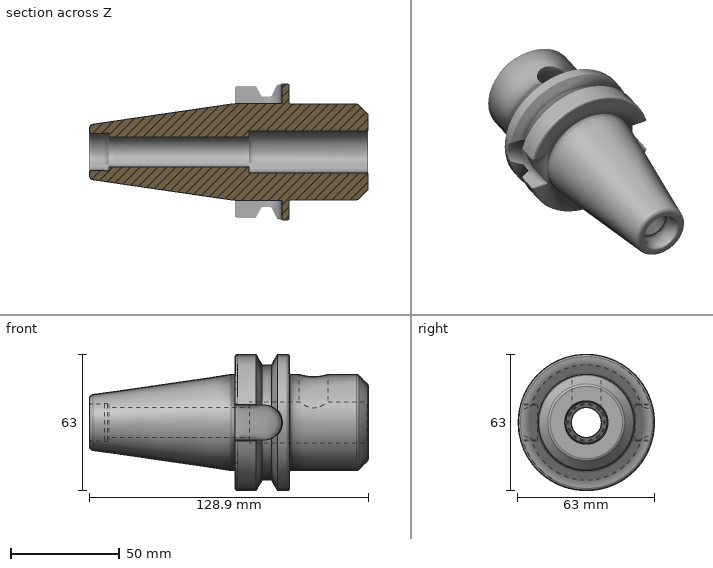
import cadquery as cq
import math

SHANK_LENGTH = 65.4
NOSE_LENGTH = 63.5
FLANGE_FRONT = 2.0
FLANGE_BACK = 27.0
GROOVE_CENTER = 16.6

GAUGE_DIA = 44.45
TAPER_RATIO = 7 / 24
SHANK_END_FILLET = 2.0
SHANK_ROOT_FILLET = 0.35

FLANGE_DIA = 63.0
FLANGE_FILLET = 1.0
GROOVE_DIA = 53.4
GROOVE_FLOOR_WIDTH = 4.4
GROOVE_HALF_ANGLE = 30.0

SLOT_WIDTH = 16.1
SLOT_FLOOR = 22.6
SLOT_END = 23.4
SLOT_CHAMFER = 0.4

NOSE_DIA = 44.45
NOSE_CHAMFER = 4.85
NOSE_EDGE_FILLET = 1.6
NOSE_ROOT_FILLET = 0.6

PILOT_DIA = 17.0
PILOT_DEPTH = 7.0
PILOT_FILLET = 1.0
RECESS_DIA = 17.5
RECESS_DEPTH = 8.4
SEAT_DIA = 16.4
SEAT_DEPTH = 9.0
THREAD_BORE_DIA = 13.84

TOOL_BORE_DIA = 19.05
TOOL_BORE_DEPTH = 55.0
TOOL_BORE_MOUTH_DIA = 20.05

SCREW_HOLE_DIA = 13.39
SCREW_HOLE_X = 38.2

PICK_MARGIN = 0.05

shank_end_r = (GAUGE_DIA - TAPER_RATIO * SHANK_LENGTH) / 2
gauge_r = GAUGE_DIA / 2
flange_r = FLANGE_DIA / 2
groove_r = GROOVE_DIA / 2
nose_r = NOSE_DIA / 2
slot_r = SLOT_WIDTH / 2
groove_floor_half = GROOVE_FLOOR_WIDTH / 2
groove_flank = (flange_r - groove_r) * math.tan(math.radians(GROOVE_HALF_ANGLE))
groove_mouth_half = groove_floor_half + groove_flank


def edges_within(x_range, y_range, z_range):
    """Selector for the edges lying wholly inside a box, plus a small margin."""
    ranges = [sorted(limits) for limits in (x_range, y_range, z_range)]
    low = tuple(limits[0] - PICK_MARGIN for limits in ranges)
    high = tuple(limits[1] + PICK_MARGIN for limits in ranges)
    return cq.selectors.BoxSelector(low, high, boundingbox=True)


def ring_at(x, radius):
    """Selector for the circular edge of the given radius around the axis at x."""
    outer = (-radius, radius)
    smaller_r = radius - 2 * PICK_MARGIN
    inner = (-smaller_r, smaller_r)
    return edges_within((x, x), outer, outer) - edges_within((x, x), inner, inner)


def make_body():
    """Solid shank, flange and nose turned around the X axis."""
    profile = [
        (-SHANK_LENGTH, 0),
        (-SHANK_LENGTH, shank_end_r),
        (0, gauge_r),
        (FLANGE_FRONT, gauge_r),
        (FLANGE_FRONT, flange_r),
        (GROOVE_CENTER - groove_mouth_half, flange_r),
        (GROOVE_CENTER - groove_floor_half, groove_r),
        (GROOVE_CENTER + groove_floor_half, groove_r),
        (GROOVE_CENTER + groove_mouth_half, flange_r),
        (FLANGE_BACK, flange_r),
        (FLANGE_BACK, nose_r),
        (NOSE_LENGTH - NOSE_CHAMFER, nose_r),
        (NOSE_LENGTH, nose_r - NOSE_CHAMFER),
        (NOSE_LENGTH, 0),
    ]
    body = cq.Workplane("XY").polyline(profile).close().revolve(360, (0, 0, 0), (1, 0, 0))

    rounded_rings = [
        (-SHANK_LENGTH, shank_end_r, SHANK_END_FILLET),
        (FLANGE_FRONT, gauge_r, SHANK_ROOT_FILLET),
        (FLANGE_FRONT, flange_r, FLANGE_FILLET),
        (FLANGE_BACK, flange_r, FLANGE_FILLET),
        (FLANGE_BACK, nose_r, NOSE_ROOT_FILLET),
        (NOSE_LENGTH - NOSE_CHAMFER, nose_r, NOSE_EDGE_FILLET),
        (NOSE_LENGTH, nose_r - NOSE_CHAMFER, NOSE_EDGE_FILLET),
    ]
    for x, radius, fillet in rounded_rings:
        body = body.edges(ring_at(x, radius)).fillet(fillet)
    return body


def make_bores():
    """Cutter for the stepped bore running through the whole holder."""
    pilot_r = PILOT_DIA / 2
    recess_r = RECESS_DIA / 2
    seat_r = SEAT_DIA / 2
    thread_r = THREAD_BORE_DIA / 2
    tool_r = TOOL_BORE_DIA / 2
    mouth_r = TOOL_BORE_MOUTH_DIA / 2
    pilot_end = -SHANK_LENGTH + PILOT_DEPTH
    recess_end = -SHANK_LENGTH + RECESS_DEPTH
    seat_end = -SHANK_LENGTH + SEAT_DEPTH
    tool_start = NOSE_LENGTH - TOOL_BORE_DEPTH
    mouth_start = NOSE_LENGTH - (mouth_r - tool_r)
    return (
        cq.Workplane("XY")
        .moveTo(-SHANK_LENGTH, 0)
        .lineTo(-SHANK_LENGTH, pilot_r + PILOT_FILLET)
        .radiusArc((-SHANK_LENGTH + PILOT_FILLET, pilot_r), -PILOT_FILLET)
        .lineTo(pilot_end, pilot_r)
        .lineTo(pilot_end, recess_r)
        .lineTo(recess_end, recess_r)
        .lineTo(seat_end, seat_r)
        .lineTo(seat_end, thread_r)
        .lineTo(tool_start, thread_r)
        .lineTo(tool_start, tool_r)
        .lineTo(mouth_start, tool_r)
        .lineTo(NOSE_LENGTH, mouth_r)
        .lineTo(NOSE_LENGTH, 0)
        .close()
        .revolve(360, (0, 0, 0), (1, 0, 0))
    )


def make_screw_hole():
    """Cutter for the radial hole from the top of the nose into the tool bore."""
    return cq.Workplane("XY").center(SCREW_HOLE_X, 0).circle(SCREW_HOLE_DIA / 2).extrude(NOSE_DIA)


def make_slot(side):
    """Cutter for the round-ended drive slot on the given Y side (-1 or 1)."""
    arc_center = SLOT_END - slot_r
    return (
        cq.Workplane("XZ", origin=(0, side * SLOT_FLOOR, 0))
        .moveTo(FLANGE_FRONT, -slot_r)
        .lineTo(arc_center, -slot_r)
        .threePointArc((SLOT_END, 0), (arc_center, slot_r))
        .lineTo(FLANGE_FRONT, slot_r)
        .close()
        .extrude(-side * (flange_r - SLOT_FLOOR))
    )


def slot_rim(side):
    """Selector for the slot edges on the flange front face and outer rim."""
    front_land = (FLANGE_FRONT, GROOVE_CENTER - groove_mouth_half)
    back_land = (GROOVE_CENTER + groove_mouth_half, SLOT_END)
    wall_depth = (side * SLOT_FLOOR, side * flange_r)
    wall_top = math.sqrt(flange_r**2 - slot_r**2)
    arc_depth = (side * wall_top, side * flange_r)
    lower_wall = edges_within(front_land, wall_depth, (-slot_r, -slot_r))
    upper_wall = edges_within(front_land, wall_depth, (slot_r, slot_r))
    end_arc = edges_within(back_land, arc_depth, (-slot_r, slot_r))
    return lower_wall + upper_wall + end_arc


result = make_body().cut(make_bores()).cut(make_screw_hole())
for slot_side in (-1, 1):
    result = result.cut(make_slot(slot_side))
    result = result.edges(slot_rim(slot_side)).chamfer(SLOT_CHAMFER)